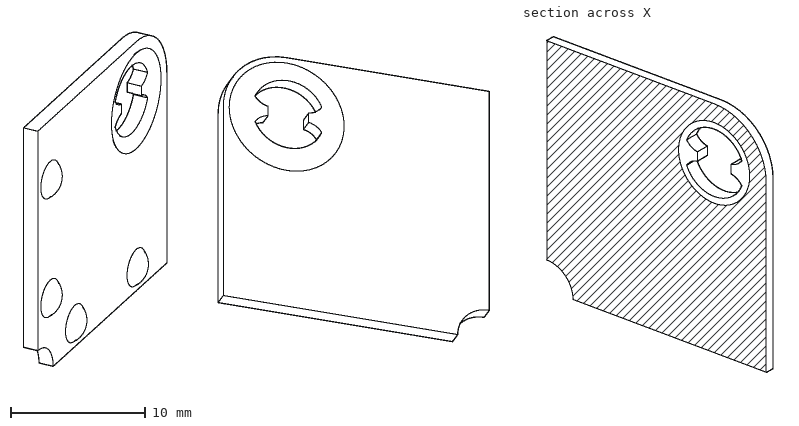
import cadquery as cq
import math

side = 21.0
thickness = 1.2
corner_radius = 5.0
notch_radius = 2.5

seat_y = side / 2 - corner_radius
seat_z = side / 2 - corner_radius
seat_height = 0.4
seat_flat_radius = 3.34
seat_outer_bend = 2.0
seat_inner_bend = seat_outer_bend - thickness

opening_radius = 2.84
tab_tip_y = 1.6
tab_tip_half_width = 0.4
tab_flank_y = 2.3
tab_flank_z = 0.71
tab_root_y = 2.62

dome_height = 0.8
pit_radius = 0.6
dome_radius = pit_radius + thickness
mouth_bend = thickness
dimple_edge_offset = 2.0
dimple_near = 6.0
dimple_far = 16.0


def arc_middle(start, end, center):
    """Point halfway along the shorter arc from start to end."""
    radius = math.dist(start, center)
    dx = (start[0] + end[0]) / 2 - center[0]
    dy = (start[1] + end[1]) / 2 - center[1]
    length = math.hypot(dx, dy)
    return (center[0] + radius * dx / length, center[1] + radius * dy / length)


def spin(profile, y, z):
    """Revolve an (X, radius) profile about an X-parallel axis through (y, z)."""
    return profile.close().revolve(360, (0, 0), (1, 0)).translate((0, y, z))


def make_plate():
    plate = cq.Workplane("YZ").rect(side, side).extrude(thickness)
    plate = plate.edges("|X and >Y and >Z").fillet(corner_radius)
    notch = cq.Workplane("YZ").center(-side / 2, -side / 2).circle(notch_radius).extrude(thickness)
    return plate.cut(notch)


def seat_disc(face_x, bend):
    """Disc standing on the plane X = face_x, its rim rounded tangent to its flat top."""
    top_x = face_x - seat_height
    center = (top_x + bend, seat_flat_radius)
    base_radius = seat_flat_radius + math.sqrt(bend**2 - (bend - seat_height) ** 2)
    crown = (top_x, seat_flat_radius)
    base = (face_x, base_radius)
    profile = cq.Workplane("XY").moveTo(face_x, 0).lineTo(top_x, 0).lineTo(*crown)
    profile = profile.threePointArc(arc_middle(crown, base, center), base)
    return spin(profile, seat_y, seat_z)


def make_opening():
    """Round opening whose outline steps inward around both tabs."""
    root_z = math.sqrt(opening_radius**2 - tab_root_y**2)
    outline = (
        cq.Workplane("YZ", origin=(-seat_height, seat_y, seat_z))
        .moveTo(tab_tip_y, -tab_tip_half_width)
        .lineTo(tab_tip_y, tab_tip_half_width)
        .threePointArc((tab_flank_y, tab_flank_z), (tab_root_y, root_z))
        .threePointArc((0, opening_radius), (-tab_root_y, root_z))
        .threePointArc((-tab_flank_y, tab_flank_z), (-tab_tip_y, tab_tip_half_width))
        .lineTo(-tab_tip_y, -tab_tip_half_width)
        .threePointArc((-tab_flank_y, -tab_flank_z), (-tab_root_y, -root_z))
        .threePointArc((0, -opening_radius), (tab_root_y, -root_z))
        .threePointArc((tab_flank_y, -tab_flank_z), (tab_tip_y, -tab_tip_half_width))
        .close()
    )
    return outline.extrude(thickness + seat_height)


def add_dimple(body, y, z):
    tip_x = thickness + dome_height
    center = (tip_x - dome_radius, 0)

    dome_tip = (tip_x, 0)
    dome_base = (thickness, math.sqrt(dome_radius**2 - (thickness - center[0]) ** 2))
    dome = cq.Workplane("XY").moveTo(thickness, 0).lineTo(*dome_base)
    dome = dome.threePointArc(arc_middle(dome_base, dome_tip, center), dome_tip)

    reach = mouth_bend + pit_radius
    mouth_radius = math.sqrt(reach**2 - (mouth_bend - center[0]) ** 2)
    bend_center = (mouth_bend, mouth_radius)
    mouth = (0, mouth_radius)
    share = pit_radius / reach
    meeting = (center[0] + share * (mouth_bend - center[0]), share * mouth_radius)
    bottom = (center[0] + pit_radius, 0)
    pit = cq.Workplane("XY").moveTo(0, 0).lineTo(*mouth)
    pit = pit.threePointArc(arc_middle(mouth, meeting, bend_center), meeting)
    pit = pit.threePointArc(arc_middle(meeting, bottom, center), bottom)

    return body.union(spin(dome, y, z)).cut(spin(pit, y, z))


result = make_plate()
result = result.union(seat_disc(0, seat_outer_bend))
result = result.cut(seat_disc(thickness, seat_inner_bend))
result = result.cut(make_opening())

edge_position = dimple_edge_offset - side / 2
for distance in (dimple_near, dimple_far):
    along = distance - side / 2
    result = add_dimple(result, edge_position, along)
    result = add_dimple(result, along, edge_position)